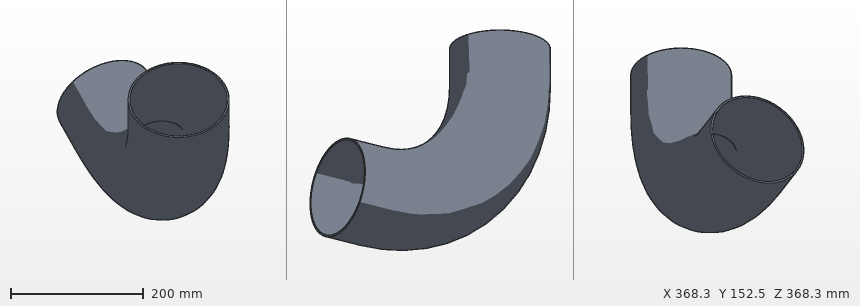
import cadquery as cq

overall_length = 368.3
outer_diameter = 152.5
wall_thickness = 3.0
tangent_length = 63.5

outer_radius = outer_diameter / 2
inner_radius = outer_radius - wall_thickness
bend_radius = overall_length - tangent_length - outer_radius


def elbow_solid(radius):
    """Solid round bar along the elbow centreline, from the -X end up to the +Z end."""
    horizontal = cq.Workplane("YZ").circle(radius).extrude(tangent_length)

    bend = (
        cq.Workplane("YZ", origin=(tangent_length, 0, 0))
        .circle(radius)
        .revolve(90, (0, bend_radius, 0), (-1, bend_radius, 0))
    )

    vertical = (
        cq.Workplane("XY", origin=(tangent_length + bend_radius, 0, bend_radius))
        .circle(radius)
        .extrude(tangent_length)
    )
    return horizontal.union(bend).union(vertical)


result = elbow_solid(outer_radius).cut(elbow_solid(inner_radius))